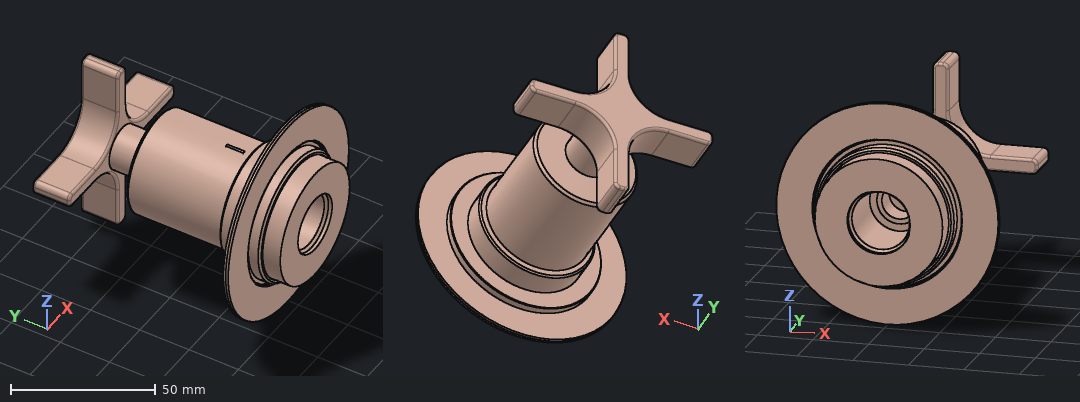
import cadquery as cq
import math

OVERALL_LENGTH = 93.5

SLEEVE_FRONT_RADIUS = 46.0 / 2
COLLAR_RADIUS = 44.6 / 2
COLLAR_END_Y = 25.25
COLLAR_CHAMFER = 0.7
BORE_RADIUS = 20.8 / 2
COUNTERBORE_RADIUS = 22.6 / 2
COUNTERBORE_DEPTH = 1.5
BORE_LEAD_IN_DEPTH = 1.1

NECK_RADIUS = 49.8 / 2
NECK_FRONT_Y = 7.0
NECK_CHAMFER = 0.8
PILOT_RADIUS = 52.9 / 2
NECK_BORE_RADIUS = 46.5 / 2
FLANGE_RADIUS = 57.9 / 2
FLANGE_THICKNESS = 3.0
FLANGE_CHAMFER = 0.3

DISC_RADIUS = 80.0 / 2
DISC_THICKNESS = 1.0
DISC_STACK_FRONT_Y = 10.8
DISC_HOLE_RADIUS = 54.0 / 2

BARREL_RADIUS = 39.9 / 2
BARREL_FRONT_Y = 25.8
BARREL_RIM_Y = 64.7
BARREL_APEX_Y = 66.0
BARREL_CHAMFER = 1.0

STEM_RADIUS = 17.2 / 2
SPIGOT_RADIUS = 15.9 / 2
STEM_SHOULDER_Y = 56.1
STEM_HOLE_RADIUS = 12.3 / 2
STEM_HOLE_DEPTH = 9.35

INDICATOR_WIDTH = 1.1
INDICATOR_LENGTH = 7.0
INDICATOR_DEPTH = 0.5
INDICATOR_FRONT_Y = 28.9

HANDLE_SPAN = 69.95
HANDLE_THICKNESS = 15.15
ARM_WIDTH = 5.8
ARM_ROOT_RADIUS = 15.0
ARM_TIP_RADIUS = 2.1
HANDLE_EDGE_RADIUS = 1.0

HANDLE_FRONT_Y = OVERALL_LENGTH - HANDLE_THICKNESS
DISC_JOINT_Y = DISC_STACK_FRONT_Y + DISC_THICKNESS
FLANGE_FRONT_Y = DISC_JOINT_Y + DISC_THICKNESS
FLANGE_BACK_Y = FLANGE_FRONT_Y + FLANGE_THICKNESS
INDICATOR_TOP_Z = math.sqrt(BARREL_RADIUS**2 - (INDICATOR_WIDTH / 2) ** 2)
INDICATOR_FLOOR_Z = INDICATOR_TOP_Z - INDICATOR_DEPTH


def revolve_about_y(profile):
    """Turn a (radius, y) profile about the Y axis."""
    return profile.close().revolve(360, (0, 0, 0), (0, 1, 0))


def rod(radius, start_y, end_y):
    """Solid cylinder along Y."""
    return revolve_about_y(
        cq.Workplane("XY").polyline([(0, start_y), (radius, start_y), (radius, end_y), (0, end_y)])
    )


def make_sleeve():
    """Stepped tube with a counterbored front and a chamfered collar at the back."""
    profile = cq.Workplane("XY").polyline([
        (COUNTERBORE_RADIUS, 0),
        (SLEEVE_FRONT_RADIUS, 0),
        (SLEEVE_FRONT_RADIUS, FLANGE_FRONT_Y),
        (COLLAR_RADIUS, FLANGE_FRONT_Y),
        (COLLAR_RADIUS, COLLAR_END_Y - COLLAR_CHAMFER),
        (COLLAR_RADIUS - COLLAR_CHAMFER, COLLAR_END_Y),
        (BORE_RADIUS, COLLAR_END_Y),
        (BORE_RADIUS, COUNTERBORE_DEPTH + BORE_LEAD_IN_DEPTH),
        (COUNTERBORE_RADIUS, COUNTERBORE_DEPTH),
    ])
    return revolve_about_y(profile)


def make_bushing():
    """Flanged ring whose neck clears the sleeve and whose flange seats on its shoulder."""
    profile = cq.Workplane("XY").polyline([
        (NECK_BORE_RADIUS, NECK_FRONT_Y),
        (NECK_RADIUS - NECK_CHAMFER, NECK_FRONT_Y),
        (NECK_RADIUS, NECK_FRONT_Y + NECK_CHAMFER),
        (NECK_RADIUS, DISC_JOINT_Y),
        (PILOT_RADIUS, DISC_JOINT_Y),
        (PILOT_RADIUS, FLANGE_FRONT_Y),
        (FLANGE_RADIUS, FLANGE_FRONT_Y),
        (FLANGE_RADIUS, FLANGE_BACK_Y - FLANGE_CHAMFER),
        (FLANGE_RADIUS - FLANGE_CHAMFER, FLANGE_BACK_Y),
        (COLLAR_RADIUS, FLANGE_BACK_Y),
        (COLLAR_RADIUS, FLANGE_FRONT_Y),
        (NECK_BORE_RADIUS, FLANGE_FRONT_Y),
    ])
    return revolve_about_y(profile)


def make_disc(front_y):
    """Thin washer; the cover and the gasket are two of these."""
    back_y = front_y + DISC_THICKNESS
    return rod(DISC_RADIUS, front_y, back_y).cut(rod(DISC_HOLE_RADIUS, front_y, back_y))


def indicator_block(height):
    """Block standing on the floor of the indicator groove."""
    block = cq.Workplane("XY").box(INDICATOR_WIDTH, INDICATOR_LENGTH, height, centered=(True, False, False))
    return block.translate((0, INDICATOR_FRONT_Y, INDICATOR_FLOOR_Z))


def make_indicator():
    """Flat-topped strip whose long edges meet the barrel's surface."""
    return indicator_block(INDICATOR_DEPTH)


def make_stem():
    """Shouldered shaft with a blind hole in its front end."""
    profile = cq.Workplane("XY").polyline([
        (0, BARREL_FRONT_Y + STEM_HOLE_DEPTH),
        (STEM_HOLE_RADIUS, BARREL_FRONT_Y + STEM_HOLE_DEPTH),
        (STEM_HOLE_RADIUS, BARREL_FRONT_Y),
        (SPIGOT_RADIUS, BARREL_FRONT_Y),
        (SPIGOT_RADIUS, STEM_SHOULDER_Y),
        (STEM_RADIUS, STEM_SHOULDER_Y),
        (STEM_RADIUS, HANDLE_FRONT_Y),
        (0, HANDLE_FRONT_Y),
    ])
    return revolve_about_y(profile)


def make_barrel():
    """Cylinder with a chamfered rim and a shallow domed back, bored for the stem."""
    rim_radius = BARREL_RADIUS - BARREL_CHAMFER
    dome_rise = BARREL_APEX_Y - BARREL_RIM_Y
    dome_radius = (rim_radius**2 + dome_rise**2) / (2 * dome_rise)
    middle_radius = rim_radius / 2
    middle_y = BARREL_APEX_Y - dome_radius + math.sqrt(dome_radius**2 - middle_radius**2)
    profile = (
        cq.Workplane("XY")
        .moveTo(0, BARREL_FRONT_Y)
        .lineTo(BARREL_RADIUS, BARREL_FRONT_Y)
        .lineTo(BARREL_RADIUS, BARREL_RIM_Y - BARREL_CHAMFER)
        .lineTo(rim_radius, BARREL_RIM_Y)
        .threePointArc((middle_radius, middle_y), (0, BARREL_APEX_Y))
    )
    spigot_bore = rod(SPIGOT_RADIUS, BARREL_FRONT_Y, STEM_SHOULDER_Y)
    stem_bore = rod(STEM_RADIUS, STEM_SHOULDER_Y, BARREL_APEX_Y)
    groove = indicator_block(BARREL_RADIUS)
    return revolve_about_y(profile).cut(spigot_bore).cut(stem_bore).cut(groove)


def make_arm_bar(length_x, length_z):
    """Straight bar through the hub, with its four end corners rounded."""
    bar = cq.Workplane("XY").box(length_x, HANDLE_THICKNESS, length_z)
    return bar.edges("|Y").fillet(ARM_TIP_RADIUS)


def make_handle():
    """Four-armed cross with large concave roots and rounded outer edges."""
    middle_y = HANDLE_FRONT_Y + HANDLE_THICKNESS / 2
    cross = make_arm_bar(HANDLE_SPAN, ARM_WIDTH).union(make_arm_bar(ARM_WIDTH, HANDLE_SPAN))
    root_zone = cq.selectors.BoxSelector(
        (-ARM_WIDTH, -HANDLE_THICKNESS, -ARM_WIDTH), (ARM_WIDTH, HANDLE_THICKNESS, ARM_WIDTH)
    )
    cross = cross.edges("|Y").edges(root_zone).fillet(ARM_ROOT_RADIUS)
    cross = cross.faces("<Y or >Y").edges().fillet(HANDLE_EDGE_RADIUS)
    return cross.translate((0, middle_y, 0))


sleeve = make_sleeve()
bushing = make_bushing()
cover = make_disc(DISC_STACK_FRONT_Y)
gasket = make_disc(DISC_JOINT_Y)
barrel = make_barrel()
indicator = make_indicator()
stem = make_stem()
handle = make_handle()

result = cq.Compound.makeCompound([
    sleeve.val(),
    bushing.val(),
    cover.val(),
    gasket.val(),
    barrel.val(),
    indicator.val(),
    stem.val(),
    handle.val(),
])